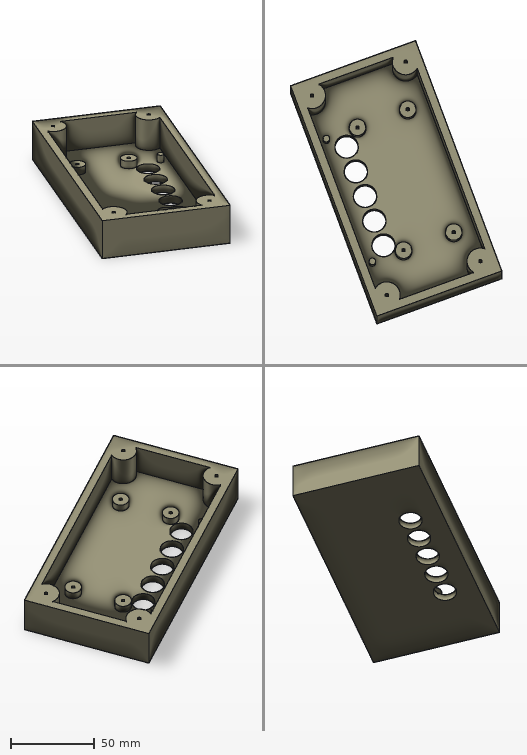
import cadquery as cq

length = 150.0
width = 80.0
height = 25.0
wall = 5.0
floor = 5.0

post_inset = 10.0
post_diameter = 16.0
screw_hole_diameter = 2.0
post_hole_depth = 15.0

mount_spacing_x = 80.0
standoff_rear_y = 10.0
standoff_front_y = -22.0
standoff_diameter = 10.0
standoff_height = 5.0
peg_y = 30.0
peg_diameter = 4.0
peg_height = 5.0

opening_count = 5
opening_pitch = 16.0
opening_diameter = 14.0
opening_y = 20.0

post_x = length / 2 - post_inset
post_y = width / 2 - post_inset
post_points = [(x, y) for x in (-post_x, post_x) for y in (-post_y, post_y)]
mount_x = mount_spacing_x / 2
standoff_points = [(x, y) for x in (-mount_x, mount_x) for y in (standoff_front_y, standoff_rear_y)]
peg_points = [(-mount_x, peg_y), (mount_x, peg_y)]
first_opening_x = -(opening_count - 1) * opening_pitch / 2
opening_points = [(first_opening_x + i * opening_pitch, opening_y) for i in range(opening_count)]


def cylinders(points, diameter, bottom, top):
    """Vertical cylinders at the given points, between two heights."""
    base = cq.Workplane("XY").workplane(offset=bottom)
    return base.pushPoints(points).circle(diameter / 2).extrude(top - bottom)


def open_box():
    """Rectangular box with a flat floor and four walls."""
    outer = cq.Workplane("XY").box(length, width, height, centered=(True, True, False))
    cavity = (
        cq.Workplane("XY")
        .workplane(offset=floor)
        .rect(length - 2 * wall, width - 2 * wall)
        .extrude(height - floor)
    )
    return outer.cut(cavity)


standoff_top = floor + standoff_height

result = open_box()
result = result.union(cylinders(post_points, post_diameter, 0, height))
result = result.union(cylinders(standoff_points, standoff_diameter, 0, standoff_top))
result = result.union(cylinders(peg_points, peg_diameter, 0, floor + peg_height))

result = result.cut(cylinders(post_points, screw_hole_diameter, height - post_hole_depth, height))
result = result.cut(cylinders(standoff_points, screw_hole_diameter, floor, standoff_top))

result = result.cut(cylinders(opening_points, opening_diameter, 0, floor))